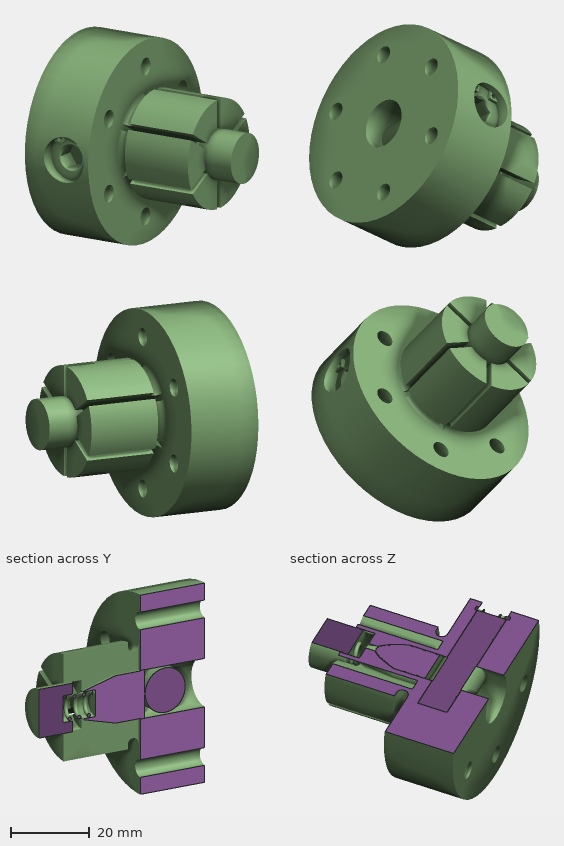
import cadquery as cq
import math

FLANGE_RADIUS = 26.65
FLANGE_LENGTH = 19.15
COLLET_RADIUS = 14.35
COLLET_END = 41.3
NECK_GROOVE_RADIUS = 1.55
NECK_RADIUS = 11.65
SLOT_COUNT = 6
SLOT_WIDTH = 1.6
BOLT_COUNT = 6
BOLT_CIRCLE_RADIUS = 19.7
BOLT_HOLE_RADIUS = 2.3

REAR_BORE_RADIUS = 6.4
FRONT_BORE_RADIUS = 6.55
TAPER_START = 26.4
TAPER_END = 36.0
TAPER_END_RADIUS = 3.85

SCREW_X = 11.75
SCREW_DIAMETER = 12.0
SCREW_END_Y = 13.35
SOCKET_ACROSS_FLATS = 6.0
SOCKET_RIM_RADIUS = 3.5
SOCKET_DEPTH = 4.8
SOCKET_TURN = 4.5

RING_FRONT_Y = -24.2
RING_THICKNESS = 1.0
RING_OUTER_RADIUS = 6.5
RING_TURN = -3.8
HALF_GAP = 2.05
LUG_BASE_HEIGHT = 3.6
LUG_CORNER_RADIUS = 0.45
LUG_HOLE_RADIUS = 0.7
LUG_HOLE_OFFSET = 3.15
LUG_HOLE_HEIGHT = 4.7

SPRING_START = 32.95
SPRING_COIL_RADIUS = 2.9
SPRING_PITCH = 2.85
SPRING_TURNS = 3
WIRE_RADIUS = 0.55
POCKET_CLEARANCE = 0.1
PLUNGER_START = 39.1
PLUNGER_END = 49.25

SCREW_RADIUS = SCREW_DIAMETER / 2
SCREW_FACE_Y = RING_FRONT_Y + RING_THICKNESS
PIN_START = SCREW_X + SCREW_RADIUS
COLLET_START = FLANGE_LENGTH + 2 * NECK_GROOVE_RADIUS
SPRING_LENGTH = SPRING_PITCH * SPRING_TURNS
SPRING_END = SPRING_START + SPRING_LENGTH

X_AXIS = cq.Vector(1, 0, 0)
Y_AXIS = cq.Vector(0, 1, 0)
ORIGIN = (0, 0, 0)


def rod_x(radius, start, end):
    """Cylinder on the X axis from x = start to x = end."""
    return cq.Workplane(cq.Solid.makeCylinder(radius, end - start, cq.Vector(start, 0, 0), X_AXIS))


def rod_y(radius, start, end):
    """Cylinder on the screw axis from y = start to y = end."""
    return cq.Workplane(cq.Solid.makeCylinder(radius, end - start, cq.Vector(SCREW_X, start, 0), Y_AXIS))


def screw_sketch(y, turn):
    """Sketch plane across the screw axis, turned about it; negative extrusions go toward +Y."""
    plane = cq.Plane(origin=(SCREW_X, y, 0), xDir=(1, 0, 0), normal=(0, -1, 0))
    return cq.Workplane(plane).transformed(rotate=(0, 0, turn))


def pin_envelope():
    """Straight rear part and tapered front part of the pin, also used to cut its seat."""
    taper = cq.Solid.makeCone(
        REAR_BORE_RADIUS, TAPER_END_RADIUS, TAPER_END - TAPER_START, cq.Vector(TAPER_START, 0, 0), X_AXIS
    )
    return rod_x(REAR_BORE_RADIUS, PIN_START, TAPER_START).union(cq.Workplane(taper))


def spring_pocket():
    """Space for the spring, half in the pin and half in the plunger."""
    radius = SPRING_COIL_RADIUS + WIRE_RADIUS + POCKET_CLEARANCE
    return rod_x(radius, SPRING_START - WIRE_RADIUS, SPRING_END + WIRE_RADIUS)


def housing_blank():
    """Flange, grooved neck and collet, revolved about X."""
    groove_edge_radius = NECK_RADIUS + NECK_GROOVE_RADIUS
    groove_middle = (FLANGE_LENGTH + NECK_GROOVE_RADIUS, NECK_RADIUS)
    return (
        cq.Workplane("XY")
        .lineTo(0, FLANGE_RADIUS)
        .lineTo(FLANGE_LENGTH, FLANGE_RADIUS)
        .lineTo(FLANGE_LENGTH, groove_edge_radius)
        .threePointArc(groove_middle, (COLLET_START, groove_edge_radius))
        .lineTo(COLLET_START, COLLET_RADIUS)
        .lineTo(COLLET_END, COLLET_RADIUS)
        .lineTo(COLLET_END, 0)
        .close()
        .revolve(360, ORIGIN, X_AXIS.toTuple())
    )


def collet_slot(index):
    """Radial slot through the neck and collet wall, the first one at +Z."""
    slot = cq.Workplane("XY").box(
        COLLET_END - FLANGE_LENGTH, SLOT_WIDTH, COLLET_RADIUS, centered=(False, True, False)
    )
    slot = slot.translate((FLANGE_LENGTH, 0, 0))
    return slot.rotate(ORIGIN, X_AXIS.toTuple(), index * 360 / SLOT_COUNT)


def bolt_holes():
    """Ring of through holes in the flange, the first one at +Z."""
    return (
        cq.Workplane("YZ")
        .polarArray(BOLT_CIRCLE_RADIUS, 90, 360, BOLT_COUNT)
        .circle(BOLT_HOLE_RADIUS)
        .extrude(FLANGE_LENGTH)
    )


def make_housing():
    housing = housing_blank()
    housing = housing.cut(rod_x(REAR_BORE_RADIUS, 0, PIN_START))
    housing = housing.cut(pin_envelope())
    housing = housing.cut(rod_x(FRONT_BORE_RADIUS, TAPER_END, COLLET_END))
    for index in range(SLOT_COUNT):
        housing = housing.cut(collet_slot(index))
    housing = housing.cut(bolt_holes())
    housing = housing.cut(rod_y(SCREW_RADIUS, -FLANGE_RADIUS, SCREW_END_Y))
    return housing.cut(rod_y(RING_OUTER_RADIUS, RING_FRONT_Y, SCREW_FACE_Y))


def make_screw():
    screw = rod_y(SCREW_RADIUS, SCREW_FACE_Y, SCREW_END_Y)
    corner_diameter = SOCKET_ACROSS_FLATS / math.cos(math.pi / 6)
    socket = screw_sketch(SCREW_FACE_Y, SOCKET_TURN).polygon(6, corner_diameter).extrude(-SOCKET_DEPTH)
    lead_in = cq.Solid.makeCone(
        SOCKET_RIM_RADIUS, 0, SOCKET_RIM_RADIUS, cq.Vector(SCREW_X, SCREW_FACE_Y, 0), Y_AXIS
    )
    return screw.cut(socket).cut(cq.Workplane(lead_in))


def make_retaining_ring():
    disc = rod_y(RING_OUTER_RADIUS, RING_FRONT_Y, SCREW_FACE_Y)
    ring = disc.cut(rod_y(SCREW_RADIUS, RING_FRONT_Y, SCREW_FACE_Y))
    sketch = screw_sketch(RING_FRONT_Y, RING_TURN)
    gap = (
        sketch.center(0, RING_OUTER_RADIUS)
        .rect(2 * HALF_GAP, RING_OUTER_RADIUS)
        .extrude(-RING_THICKNESS)
    )
    ring = ring.cut(gap)
    block_size = RING_OUTER_RADIUS
    for side in (-1, 1):
        lug = (
            sketch.center(side * (HALF_GAP + block_size / 2), LUG_BASE_HEIGHT + block_size / 2)
            .rect(block_size, block_size)
            .extrude(-RING_THICKNESS)
            .edges("|Y")
            .fillet(LUG_CORNER_RADIUS)
            .intersect(disc)
        )
        hole = (
            sketch.center(side * LUG_HOLE_OFFSET, LUG_HOLE_HEIGHT)
            .circle(LUG_HOLE_RADIUS)
            .extrude(-RING_THICKNESS)
        )
        ring = ring.union(lug).cut(hole)
    return ring


def make_pin():
    return pin_envelope().cut(spring_pocket())


def make_spring():
    """Round wire swept along a helix that starts at +Z."""
    helix = cq.Wire.makeHelix(
        SPRING_PITCH, SPRING_LENGTH, SPRING_COIL_RADIUS, cq.Vector(SPRING_START, 0, 0), X_AXIS
    )
    wire_plane = cq.Plane(origin=helix.startPoint().toTuple(), normal=helix.tangentAt(0).toTuple())
    return cq.Workplane(wire_plane).circle(WIRE_RADIUS).sweep(cq.Workplane(helix), isFrenet=True)


def make_plunger():
    return rod_x(FRONT_BORE_RADIUS, PLUNGER_START, PLUNGER_END).cut(spring_pocket())


housing = make_housing()
screw = make_screw()
retaining_ring = make_retaining_ring()
pin = make_pin()
spring = make_spring()
plunger = make_plunger()

bodies = [housing, screw, retaining_ring, pin, spring, plunger]
result = cq.Compound.makeCompound([body.solids().val() for body in bodies])